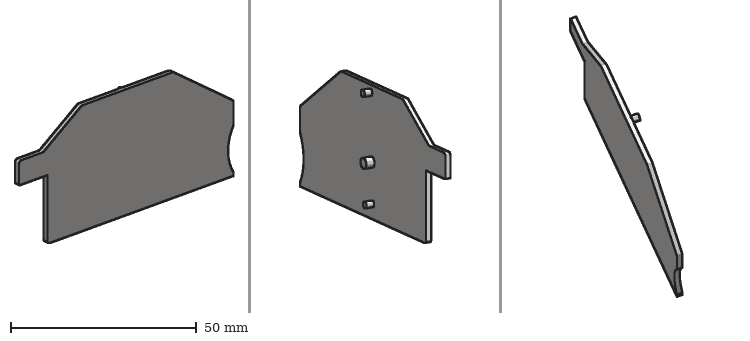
import cadquery as cq

length = 76.35
height = 37.5
thickness = 1.6
front_end = -length / 2
back_end = length / 2

front_top_inset = 22.4
back_top_inset = 21.45
back_shoulder_height = 22.45

tab_length = 10.15
tab_top = 27.8
tab_bottom = 20.45
slope_foot_inset = 8.7

notch_bottom = 1.1
notch_top = 15.05
notch_depth = 1.9

corner_radius = 1.0
tab_lower_radius = 0.45

main_pin_length = 2.6
small_pin_length = 2.4
pins = [
    (1.2, 35.35, 2.05, small_pin_length),
    (0.5, 15.95, 3.05, main_pin_length),
    (0.15, 4.35, 1.9, small_pin_length),
]


def round_corner(body, y, z, radius):
    """Round the profile corner at (y, z) through the plate thickness."""
    corner = cq.selectors.NearestToPointSelector((thickness / 2, y, z))
    return body.edges("|X").edges(corner).fillet(radius)


def make_plate():
    front_top = (front_end + front_top_inset, height)
    back_top = (back_end - back_top_inset, height)
    back_shoulder = (back_end, back_shoulder_height)
    slope_foot = (front_end + slope_foot_inset, tab_top)
    tab_upper_tip = (front_end, tab_top)
    tab_lower_tip = (front_end, tab_bottom)
    front_foot = (front_end + tab_length, 0)
    notch_deepest = (back_end - notch_depth, (notch_bottom + notch_top) / 2)

    plate = (
        cq.Workplane("YZ")
        .moveTo(back_end, 0)
        .lineTo(back_end, notch_bottom)
        .threePointArc(notch_deepest, (back_end, notch_top))
        .lineTo(*back_shoulder)
        .lineTo(*back_top)
        .lineTo(*front_top)
        .lineTo(*slope_foot)
        .lineTo(*tab_upper_tip)
        .lineTo(*tab_lower_tip)
        .lineTo(front_end + tab_length, tab_bottom)
        .lineTo(*front_foot)
        .close()
        .extrude(thickness)
    )
    for corner in (back_shoulder, back_top, front_top, slope_foot, tab_upper_tip, front_foot):
        plate = round_corner(plate, *corner, corner_radius)
    return round_corner(plate, *tab_lower_tip, tab_lower_radius)


def make_pin(y, z, diameter, pin_length):
    """Round pin standing on the -X face of the plate."""
    return cq.Workplane("YZ").center(y, z).circle(diameter / 2).extrude(-pin_length)


result = make_plate()
for pin in pins:
    result = result.union(make_pin(*pin))